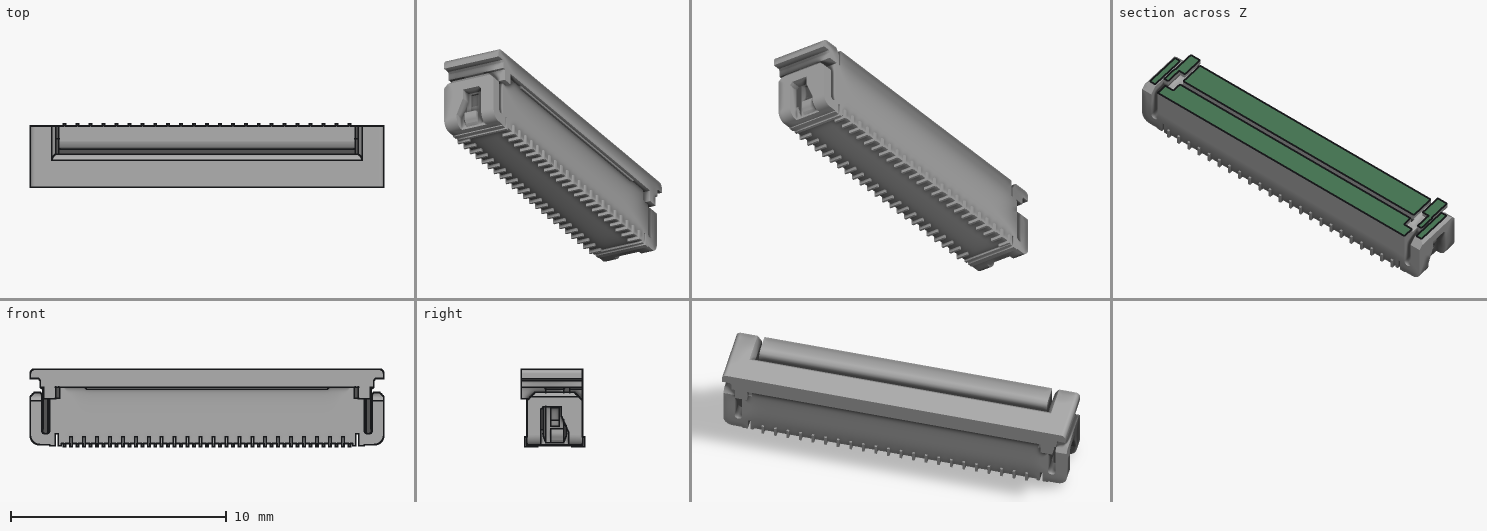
import cadquery as cq


overall_length = 16.4
half_length = overall_length / 2
top_z = 3.6
housing_half_width = 1.3
slider_front_y = -1.55

body_half_length = 7.3
body_top_z = 2.77
body_bottom_z = 0.15
lead_field_half_length = 6.75
pad_bottom_z = 0.05
shoulder_chamfer = 0.1
rear_shoulder_y = 0.7
ledge_x = 6.82
ledge_z = 2.26

end_inner_x = 7.66
end_top_z = 2.53
end_bottom_z = 0.1
end_bottom_radius = 0.45
end_top_chamfer = 0.2
end_corner_chamfer = 0.38
end_inner_chamfer = 0.08
slot_bottom_z = 0.6
relief_inner_x = 6.9
relief_width = 0.13
relief_outer_x = relief_inner_x + relief_width
relief_top_z = slot_bottom_z

window_half_width = 0.64
window_upper_y = 0.31
window_slope_bottom_z = 0.67
window_slope_top_z = 1.43
window_top_z = 1.87
window_corner_chamfer = 0.13
cavity_half_width = 0.54
cavity_depth = 0.13
cavity_taper_width = 0.13
cavity_taper_height = 0.33

bar_half_length = 6.87
bar_flat_front_y = 0.55
bar_crest_mid_y = 0.46
bar_crest_mid_z = 3.58
bar_crest_front_y = 0.35
bar_crest_z = 3.51
bar_nose_mid_y = 0.28
bar_nose_mid_z = 3.45
bar_nose_front_y = 0.25
bar_nose_z = 3.36
bar_front_y = 0.21
bar_taper_z = 3.12
cable_slot_front_y = -0.02
cable_slot_floor_z = 1.31

flange_bottom_z = 3.17
flange_radius = 0.21
web_top_x = 7.8
web_x = 7.74
web_bevel_z = 3.07
opening_half_length = 7.0
opening_side_bevel = 0.2
opening_top_half_length = opening_half_length + opening_side_bevel
opening_top_front_y = -0.3
opening_bevel_depth = 0.3
opening_rim_bulge = 0.03
strip_half_length = 5.67
strip_depth = 0.1
strip_front_y = -1.41
plate_inner_x = 7.02
plate_outer_x = 7.58
plate_bottom_z = 2.23

leg_half_width = 0.41
leg_inner_x = 7.36
leg_outer_x = 7.61
leg_bottom_z = 0.2
leg_flare_height = 0.1
leg_flare_half_width = 0.5
recess_half_width = 0.2
recess_bottom_z = 0.95
recess_top_z = 1.82
recess_depth = 0.13
recess_step_z = 1.23
recess_step_depth = 0.07
hook_x = 7.87
hook_top_z = 0.84
hook_bend_z = 0.65
hook_mid_x = 7.85
hook_mid_z = 0.54
hook_arc_end_x = 7.8
hook_arc_end_z = 0.45
hook_toe_x = 7.74
hook_toe_z = 0.33

rear_lead_count = 23
rear_row_span = 13.2
lead_pitch = rear_row_span / (rear_lead_count - 1)
lead_width = 0.11
lead_top_z = 0.46
lead_overhang = 0.1
lead_depth = 0.6
lead_tip_y = housing_half_width + lead_overhang
lead_inner_y = lead_tip_y - lead_depth


def block(x_range, y_range, z_range):
    """Box between two limits on each axis."""
    size = [limits[1] - limits[0] for limits in (x_range, y_range, z_range)]
    corner = cq.Vector(x_range[0], y_range[0], z_range[0])
    return cq.Workplane("XY").box(*size, centered=False).translate(corner)


def along_x(points, x_start, x_end):
    """Prism along X from a list of (y, z) points."""
    return cq.Workplane("YZ").workplane(offset=x_start).polyline(points).close().extrude(x_end - x_start)


def along_y(points, y_start, y_end):
    """Prism along Y from a list of (x, z) points."""
    return cq.Workplane("XZ").workplane(offset=-y_end).polyline(points).close().extrude(y_end - y_start)


def both_ends(right_end):
    """The right-end solid joined with its mirror image at the left end."""
    return right_end.union(right_end.mirror("YZ"))


housing_width = (-housing_half_width, housing_half_width)


def housing_body():
    """Central body with foot pads near its ends and ledges that receive the slider plates."""
    center = block((-body_half_length, body_half_length), housing_width, (body_bottom_z, body_top_z))
    center = center.edges("|Y and >Z").chamfer(shoulder_chamfer)
    pad = block((lead_field_half_length, body_half_length), housing_width, (pad_bottom_z, slot_bottom_z))
    ledge_cut = block(
        (ledge_x, half_length), (-housing_half_width, rear_shoulder_y), (ledge_z, top_z)
    )
    return center.union(both_ends(pad)).cut(both_ends(ledge_cut))


def end_block():
    """Right end block, including the floor that joins it to the body below the slot."""
    wall = block((body_half_length, half_length), housing_width, (end_bottom_z, end_top_z))
    wall = wall.edges("|Y and >X and <Z").fillet(end_bottom_radius)
    wall = wall.edges("|Y and >X and >Z").chamfer(end_top_chamfer)
    corner_y = housing_half_width - end_corner_chamfer
    corner_z = end_top_z - end_corner_chamfer
    outline = along_x(
        [
            (-housing_half_width, 0),
            (housing_half_width, 0),
            (housing_half_width, corner_z),
            (corner_y, end_top_z),
            (-corner_y, end_top_z),
            (-housing_half_width, corner_z),
        ],
        0,
        half_length,
    )
    return wall.intersect(outline)


def end_slot():
    """Round-bottomed slot between the body and the right end block, flared at its outer top edge."""
    radius = (end_inner_x - body_half_length) / 2
    center_x = (end_inner_x + body_half_length) / 2
    center_z = slot_bottom_z + radius
    straight = along_y(
        [
            (body_half_length, center_z),
            (end_inner_x, center_z),
            (end_inner_x, end_top_z - end_inner_chamfer),
            (end_inner_x + end_inner_chamfer, end_top_z),
            (body_half_length, end_top_z),
        ],
        *housing_width,
    )
    bottom = (
        cq.Workplane("XZ")
        .center(center_x, center_z)
        .circle(radius)
        .extrude(housing_half_width, both=True)
    )
    return straight.union(bottom)


def end_window():
    """Arched opening through the right end wall, with a tapered cavity behind it."""
    arch = along_x(
        [
            (-window_half_width, 0),
            (window_half_width, 0),
            (window_half_width, window_slope_bottom_z),
            (window_upper_y, window_slope_top_z),
            (window_upper_y, window_top_z),
            (-window_half_width + window_corner_chamfer, window_top_z),
            (-window_half_width, window_top_z - window_corner_chamfer),
        ],
        end_inner_x,
        half_length,
    )
    floor_half_width = cavity_half_width - cavity_taper_width
    taper_top_z = leg_bottom_z + cavity_taper_height
    cavity = along_x(
        [
            (-floor_half_width, leg_bottom_z),
            (floor_half_width, leg_bottom_z),
            (cavity_half_width, taper_top_z),
            (cavity_half_width, window_top_z),
            (-cavity_half_width, window_top_z),
            (-cavity_half_width, taper_top_z),
        ],
        body_half_length - cavity_depth,
        end_inner_x,
    )
    return arch.union(cavity)


def bottom_relief():
    """Narrow notch across the underside near the right end."""
    return block((relief_inner_x, relief_outer_x), housing_width, (0, relief_top_z))


def raised_bar():
    """Bar along the rear of the housing, with a rounded crest and nose that lead the cable in."""
    return (
        cq.Workplane("YZ")
        .moveTo(housing_half_width, body_top_z)
        .lineTo(housing_half_width, top_z)
        .lineTo(bar_flat_front_y, top_z)
        .threePointArc((bar_crest_mid_y, bar_crest_mid_z), (bar_crest_front_y, bar_crest_z))
        .threePointArc((bar_nose_mid_y, bar_nose_mid_z), (bar_nose_front_y, bar_nose_z))
        .lineTo(bar_front_y, bar_taper_z)
        .lineTo(bar_front_y, body_top_z)
        .close()
        .extrude(bar_half_length, both=True)
    )


def slider_frame():
    """Flanged U-shaped frame, open toward the rear, with bevelled sides and a rounded front rim."""
    half_outline = [
        (0, body_top_z),
        (web_x, body_top_z),
        (web_x, web_bevel_z),
        (web_top_x, flange_bottom_z),
        (half_length, flange_bottom_z),
        (half_length, top_z),
        (0, top_z),
    ]
    frame = both_ends(along_y(half_outline, slider_front_y, housing_half_width))
    frame = frame.edges("|Y and >Z and (<X or >X)").fillet(flange_radius)

    opening = block(
        (-opening_half_length, opening_half_length),
        (cable_slot_front_y, housing_half_width),
        (body_top_z, top_z),
    )
    bevel_z = top_z - opening_bevel_depth
    side_bevels = along_y(
        [
            (-opening_half_length, bevel_z),
            (opening_half_length, bevel_z),
            (opening_top_half_length, top_z),
            (-opening_top_half_length, top_z),
        ],
        opening_top_front_y,
        housing_half_width,
    )
    rim_mid_y = (cable_slot_front_y + opening_top_front_y) / 2 + opening_rim_bulge
    rim_mid_z = (bevel_z + top_z) / 2 + opening_rim_bulge
    front_rim = (
        cq.Workplane("YZ")
        .moveTo(housing_half_width, top_z)
        .lineTo(opening_top_front_y, top_z)
        .threePointArc((rim_mid_y, rim_mid_z), (cable_slot_front_y, bevel_z))
        .lineTo(housing_half_width, bevel_z)
        .close()
        .extrude(opening_top_half_length, both=True)
    )
    return frame.cut(opening).cut(side_bevels.intersect(front_rim))


def slider_strip():
    """Shallow strip with bevelled ends under the front of the slider."""
    strip_bottom_z = body_top_z - strip_depth
    bottom_half_length = strip_half_length - strip_depth
    return along_y(
        [
            (-strip_half_length, body_top_z),
            (-bottom_half_length, strip_bottom_z),
            (bottom_half_length, strip_bottom_z),
            (strip_half_length, body_top_z),
        ],
        strip_front_y,
        cable_slot_front_y,
    )


def slider_plate():
    """Right front plate hanging down into the housing ledge."""
    return block(
        (plate_inner_x, plate_outer_x), (slider_front_y, -leg_half_width), (plate_bottom_z, body_top_z)
    )


def latch_leg():
    """Right latch leg: flared root, stepped recess and an outward hook at the foot."""
    leg_width = (-leg_half_width, leg_half_width)
    leg = block((leg_inner_x, leg_outer_x), leg_width, (leg_bottom_z, body_top_z))
    flare_bottom_z = body_top_z - leg_flare_height
    flare = along_y(
        [
            (leg_inner_x, body_top_z),
            (web_x, body_top_z),
            (leg_outer_x, flare_bottom_z),
            (leg_inner_x, flare_bottom_z),
        ],
        -leg_flare_half_width,
        leg_flare_half_width,
    )
    flare_sides = along_x(
        [
            (-leg_flare_half_width, body_top_z),
            (leg_flare_half_width, body_top_z),
            (leg_half_width, flare_bottom_z),
            (-leg_half_width, flare_bottom_z),
        ],
        leg_inner_x,
        web_x,
    )
    recess_width = (-recess_half_width, recess_half_width)
    recess = block(
        (leg_outer_x - recess_depth, leg_outer_x), recess_width, (recess_step_z, recess_top_z)
    )
    recess_step = block(
        (leg_outer_x - recess_step_depth, leg_outer_x), recess_width, (recess_bottom_z, recess_step_z)
    )
    hook = (
        cq.Workplane("XZ")
        .workplane(offset=-leg_half_width)
        .moveTo(leg_inner_x, hook_top_z)
        .lineTo(hook_x, hook_top_z)
        .lineTo(hook_x, hook_bend_z)
        .threePointArc((hook_mid_x, hook_mid_z), (hook_arc_end_x, hook_arc_end_z))
        .lineTo(hook_toe_x, hook_toe_z)
        .lineTo(leg_outer_x, leg_bottom_z)
        .lineTo(leg_inner_x, leg_bottom_z)
        .close()
        .extrude(leg_half_width + recess_half_width)
    )
    return leg.union(flare.intersect(flare_sides)).cut(recess).cut(recess_step).union(hook)


def lead_row(count, y_range):
    """Row of evenly spaced solder leads, centered on X = 0."""
    first_x = -lead_pitch * (count - 1) / 2
    row = cq.Workplane("XY")
    for index in range(count):
        x = first_x + index * lead_pitch
        row = row.add(block((x - lead_width / 2, x + lead_width / 2), y_range, (0, lead_top_z)))
    return row.combine()


housing = housing_body().union(both_ends(end_block()))
for cutter in (end_slot(), end_window(), bottom_relief()):
    housing = housing.cut(both_ends(cutter))
cable_slot = block(
    (-bar_half_length, bar_half_length),
    (cable_slot_front_y, bar_front_y),
    (cable_slot_floor_z, top_z),
)
housing = housing.cut(cable_slot).union(raised_bar())

slider = slider_frame().union(slider_strip())
slider = slider.union(both_ends(slider_plate())).union(both_ends(latch_leg()))

rear_leads = lead_row(rear_lead_count, (lead_inner_y, lead_tip_y))
front_leads = lead_row(rear_lead_count - 1, (-lead_tip_y, -lead_inner_y))

result = housing.union(slider).union(rear_leads).union(front_leads)